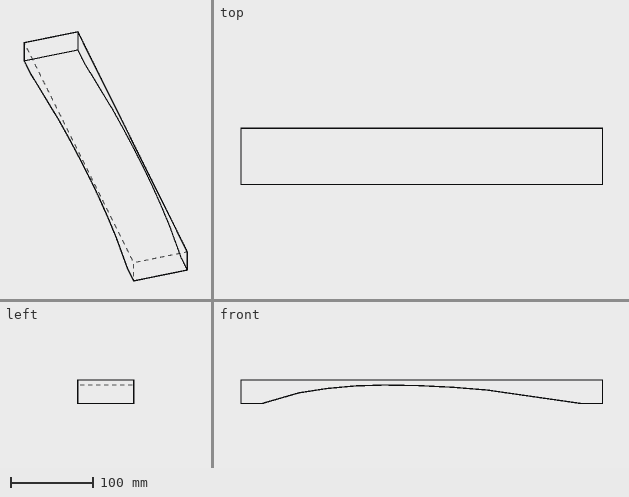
import cadquery as cq
import math

length = 440.4
width = 68.58
height = 28.96

foot_length = 25.4

left_ramp_end = (71.0, 13.2)
right_ramp_end = (300.0, 16.5)

crown_thickness = 6.35
crown = (174.0, height - crown_thickness)


def arch_middle(ramp_end):
    """Point midway in x on the arc that is level at the crown and passes through the ramp end."""
    run = ramp_end[0] - crown[0]
    drop = crown[1] - ramp_end[1]
    radius = (run**2 + drop**2) / (2 * drop)
    half_run = run / 2
    half_run_drop = radius - math.sqrt(radius**2 - half_run**2)
    return (crown[0] + half_run, crown[1] - half_run_drop)


def side_profile():
    """Outline in the XZ plane: flat top, flat feet, straight ramps and a two-arc arch between them."""
    return (
        cq.Workplane("XZ")
        .lineTo(foot_length, 0)
        .lineTo(*left_ramp_end)
        .threePointArc(arch_middle(left_ramp_end), crown)
        .threePointArc(arch_middle(right_ramp_end), right_ramp_end)
        .lineTo(length - foot_length, 0)
        .lineTo(length, 0)
        .lineTo(length, height)
        .lineTo(0, height)
        .close()
    )


result = side_profile().extrude(-width)